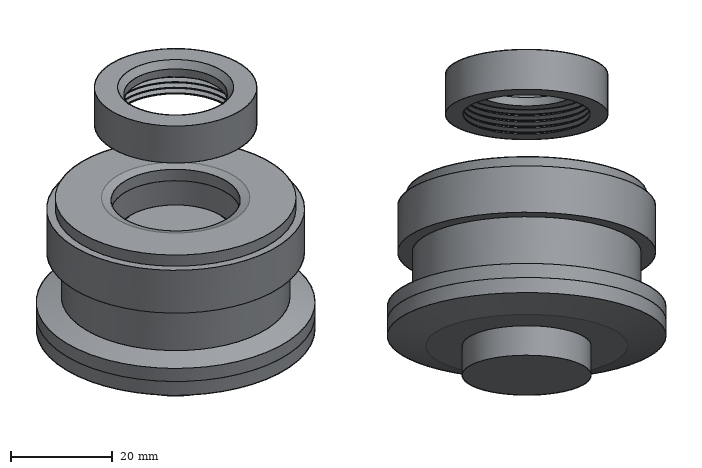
import cadquery as cq
import math

rod_bottom = 0.0
flange_bottom = 6.1
rim_bottom = 8.15
flange_joint = 11.25
rim_top = 14.2
cap_bottom = 25.45
rod_top = 29.7
cap_shoulder = 35.05
cap_top = 37.5
ring_bottom = 53.95
ring_top = 62.2

flange_diameter = 54.9
flange_underside_diameter = 39.75
flange_cone_angle = 15.0
tube_outer_diameter = 45.05
tube_bore_diameter = 40.0

cap_diameter = 50.8
cap_top_diameter = 47.35
cap_mouth_diameter = 29.2
cap_mouth_depth = 0.55
cap_lip_thickness = 3.1

rod_diameter = 25.4
rod_tip_diameter = 22.85

ring_diameter = 32.0
ring_bore_diameter = 20.35
ring_mouth_diameter = 22.85
ring_mouth_depth = 1.45
ring_lip_depth = 3.2
thread_crest_diameter = 25.0
thread_root_diameter = 26.95
thread_pitch = 1.25
thread_crest_width = 0.25
thread_groove_count = 4


def revolved(profile):
    """Turn a closed (diameter, height) profile into a solid about the Z axis."""
    points = [(diameter / 2, height) for diameter, height in profile]
    return cq.Workplane("XZ").polyline(points).close().revolve(360, (0, 0), (0, 1))


def make_lower_flange():
    """Flange with a conical underside, bored through for the rod."""
    return revolved([
        (rod_diameter, flange_bottom),
        (flange_underside_diameter, flange_bottom),
        (flange_diameter, rim_bottom),
        (flange_diameter, flange_joint),
        (rod_diameter, flange_joint),
    ])


def make_flanged_tube():
    """Tube with a flange at its foot; its top end sits under the lip of the cap."""
    cone_width = (flange_diameter - tube_outer_diameter) / 2
    cone_top = rim_top + cone_width * math.tan(math.radians(flange_cone_angle))
    tube_top = cap_top - cap_lip_thickness
    return revolved([
        (tube_bore_diameter, flange_joint),
        (flange_diameter, flange_joint),
        (flange_diameter, rim_top),
        (tube_outer_diameter, cone_top),
        (tube_outer_diameter, tube_top),
        (tube_bore_diameter, tube_top),
    ])


def make_cap():
    """Stepped cap over the tube, with a lip around a shallow conical mouth."""
    lip_bottom = cap_top - cap_lip_thickness
    return revolved([
        (tube_outer_diameter, cap_bottom),
        (cap_diameter, cap_bottom),
        (cap_diameter, cap_shoulder),
        (cap_top_diameter, cap_shoulder),
        (cap_top_diameter, cap_top),
        (cap_mouth_diameter, cap_top),
        (rod_diameter, cap_top - cap_mouth_depth),
        (rod_diameter, lip_bottom),
        (tube_outer_diameter, lip_bottom),
    ])


def make_rod():
    """Rod through the lower flange, chamfered at its upper end."""
    chamfer = (rod_diameter - rod_tip_diameter) / 2
    return revolved([
        (0, rod_bottom),
        (rod_diameter, rod_bottom),
        (rod_diameter, rod_top - chamfer),
        (rod_tip_diameter, rod_top),
        (0, rod_top),
    ])


def make_ring():
    """Ring with a conical mouth and lip above a bore with V grooves as a thread."""
    lip_bottom = ring_top - ring_lip_depth
    ring = revolved([
        (thread_crest_diameter, ring_bottom),
        (ring_diameter, ring_bottom),
        (ring_diameter, ring_top),
        (ring_mouth_diameter, ring_top),
        (ring_bore_diameter, ring_top - ring_mouth_depth),
        (ring_bore_diameter, lip_bottom),
        (thread_crest_diameter, lip_bottom),
    ])
    groove_width = thread_pitch - thread_crest_width
    for index in range(thread_groove_count):
        groove_bottom = ring_bottom + thread_crest_width + index * thread_pitch
        groove_top = groove_bottom + groove_width
        groove = revolved([
            (0, groove_bottom),
            (thread_crest_diameter, groove_bottom),
            (thread_root_diameter, groove_bottom + groove_width / 2),
            (thread_crest_diameter, groove_top),
            (0, groove_top),
        ])
        ring = ring.cut(groove)
    return ring


lower_flange = make_lower_flange()
flanged_tube = make_flanged_tube()
cap = make_cap()
rod = make_rod()
ring = make_ring()

result = cq.Compound.makeCompound([
    lower_flange.val(),
    flanged_tube.val(),
    cap.val(),
    rod.val(),
    ring.val(),
])